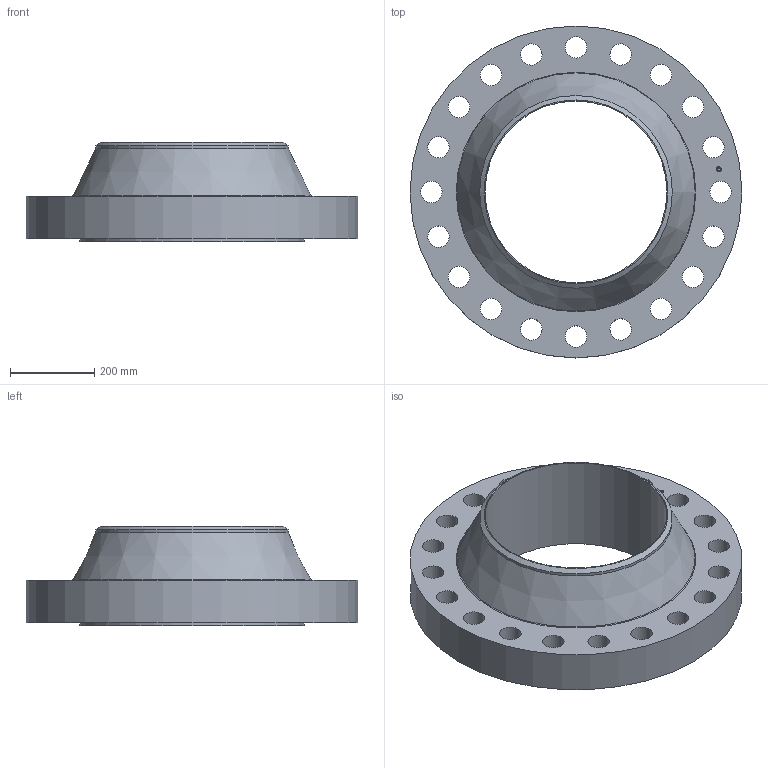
import cadquery as cq
import math

flange_diameter = 787.4
flange_thickness = 101.6
overall_height = 234.95

face_diameter = 533.4
face_height = 6.35

hub_base_diameter = 565.15
hub_fillet_radius = 2.5
weld_end_diameter = 457.2
weld_end_length = 15.0
bevel_width = 10.5
bevel_angle = 37.5
bore_diameter = 431.8

bolt_count = 20
bolt_hole_diameter = 50.8
bolt_circle_diameter = 685.8

recess_diameter = 12.0
recess_depth = 2.0
pilot_diameter = 7.0
pilot_depth = 12.0

flange_top = face_height + flange_thickness
bolt_pitch_angle = 360 / bolt_count


def make_body():
    """Revolve the flange, hub and bore profile around Z."""
    face_radius = face_diameter / 2
    flange_radius = flange_diameter / 2
    bore_radius = bore_diameter / 2
    weld_end_radius = weld_end_diameter / 2
    bevel_height = bevel_width * math.tan(math.radians(bevel_angle))
    profile = [
        (bore_radius, 0),
        (face_radius, 0),
        (face_radius, face_height),
        (flange_radius, face_height),
        (flange_radius, flange_top),
        (hub_base_diameter / 2, flange_top),
        (weld_end_radius, overall_height - weld_end_length),
        (weld_end_radius, overall_height - bevel_height),
        (weld_end_radius - bevel_width, overall_height),
        (bore_radius, overall_height),
    ]
    return cq.Workplane("XZ").polyline(profile).close().revolve(360, (0, 0, 0), (0, 1, 0))


def cut_bolt_holes(body):
    """Drill the evenly spaced bolt holes through the flange."""
    holes = (
        cq.Workplane("XY")
        .polarArray(bolt_circle_diameter / 2, 0, 360, bolt_count)
        .circle(bolt_hole_diameter / 2)
        .extrude(flange_top)
    )
    return body.cut(holes)


def round_hub_base(body):
    """Fillet the inside corner where the hub meets the flange."""
    reach = hub_base_diameter / 2 + hub_fillet_radius
    corner_edge = cq.selectors.BoxSelector(
        (-reach, -reach, flange_top - hub_fillet_radius),
        (reach, reach, flange_top + hub_fillet_radius),
        boundingbox=True,
    )
    return body.edges(corner_edge).fillet(hub_fillet_radius)


def cut_small_hole(body):
    """Cut the small stepped blind hole into the top of the flange."""
    angle = math.radians(bolt_pitch_angle / 2)
    center_x = bolt_circle_diameter / 2 * math.cos(angle)
    center_y = bolt_circle_diameter / 2 * math.sin(angle)
    return (
        body.cut(blind_cylinder(center_x, center_y, recess_diameter, recess_depth))
        .cut(blind_cylinder(center_x, center_y, pilot_diameter, pilot_depth))
    )


def blind_cylinder(center_x, center_y, diameter, depth):
    """Cylinder reaching down from the top of the flange."""
    top = cq.Workplane("XY", origin=(center_x, center_y, flange_top))
    return top.circle(diameter / 2).extrude(-depth)


result = make_body()
result = round_hub_base(result)
result = cut_bolt_holes(result)
result = cut_small_hole(result)